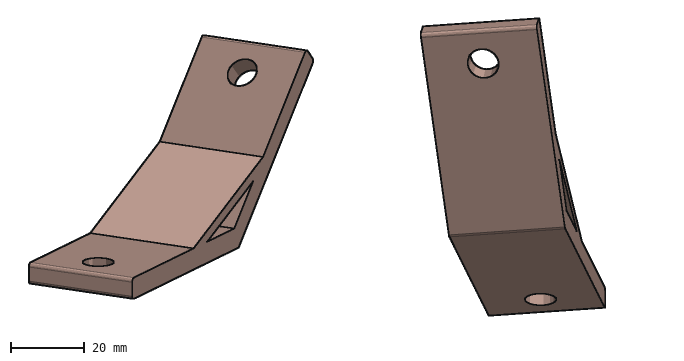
import cadquery as cq
import math

width = 32.0
arm_length = 60.0
thickness = 6.0
bend_angle = 45.0
brace_reach = 25.4
brace_thickness = 3.0
edge_radius = 1.0
hole_diameter = 8.5
hole_end_distance = 10.0

half_bend = math.radians(bend_angle / 2)
inner_corner = thickness * math.tan(half_bend)
window_reach = brace_reach - brace_thickness / math.sin(half_bend)

flat_arm = cq.Plane(origin=(0, 0, 0), xDir=(-1, 0, 0), normal=(0, 0, 1))
tilt = math.radians(bend_angle)
tilted_arm = cq.Plane(
    origin=(0, 0, 0),
    xDir=(1, 0, 0),
    normal=(0, -math.sin(tilt), math.cos(tilt)),
)


def profile_point(arm, along, height):
    """Return the (Y, Z) position of a point given along and above an arm."""
    point = arm.toWorldCoords((0, along, height))
    return (point.y, point.z)


def extrude_profile(points):
    """Extrude a closed Y-Z outline, centred across the width."""
    return cq.Workplane("YZ").polyline(points).close().extrude(width / 2, both=True)


def make_body():
    """Two arms joined at the bend, with the brace corner filled in."""
    return extrude_profile([
        (0, 0),
        profile_point(flat_arm, arm_length, 0),
        profile_point(flat_arm, arm_length, thickness),
        profile_point(flat_arm, brace_reach, thickness),
        profile_point(tilted_arm, brace_reach, thickness),
        profile_point(tilted_arm, arm_length, thickness),
        profile_point(tilted_arm, arm_length, 0),
    ])


def round_outer_edges(body):
    """Round the bend edge and both edges of each free end."""
    positions = [(0, 0)]
    for arm in (flat_arm, tilted_arm):
        for height in (0, thickness):
            positions.append(profile_point(arm, arm_length, height))
    for y, z in positions:
        nearest = cq.selectors.NearestToPointSelector((0, y, z))
        body = body.edges("|X").edges(nearest).fillet(edge_radius)
    return body


def make_window():
    """Triangular opening between the brace and the inner faces of the arms."""
    return extrude_profile([
        profile_point(flat_arm, inner_corner, thickness),
        profile_point(flat_arm, window_reach, thickness),
        profile_point(tilted_arm, window_reach, thickness),
    ])


def make_hole(arm):
    """Through hole on the width centre line near an arm's free end."""
    hole_position = arm_length - hole_end_distance
    return cq.Workplane(arm).center(0, hole_position).circle(hole_diameter / 2).extrude(thickness)


result = round_outer_edges(make_body()).cut(make_window())
for mounting_arm in (flat_arm, tilted_arm):
    result = result.cut(make_hole(mounting_arm))